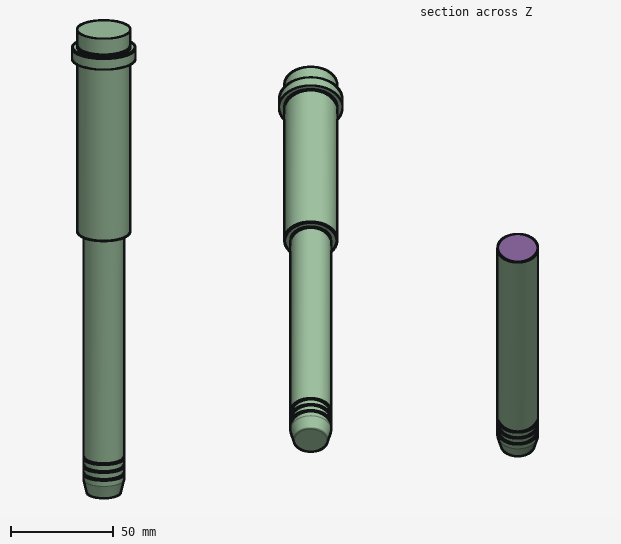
import cadquery as cq

length = 240.0
head_diameter = 26.0
collar_diameter = 31.0
shank_diameter = 20.0
tip_diameter = 16.5

collar_top = 231.0
collar_thickness = 6.0
collar_bottom = collar_top - collar_thickness
head_bottom = 135.0
taper_height = 7.0

collar_chamfer = 0.5
head_chamfer = 0.5
tip_fillet = 0.5

groove_width = 1.0
groove_depth = 0.5
shank_groove_count = 3
first_groove_center = 10.3
groove_pitch = 4.0


def cylinder(diameter, bottom, top):
    """Solid cylinder about the Z axis between two heights."""
    return cq.Workplane("XY").workplane(offset=bottom).circle(diameter / 2).extrude(top - bottom)


def tapered_tip():
    """Cone that widens from the rounded tip face to the shank."""
    cone = (
        cq.Workplane("XY")
        .circle(tip_diameter / 2)
        .workplane(offset=taper_height)
        .circle(shank_diameter / 2)
        .loft(ruled=True)
    )
    return cone.faces("<Z").edges().fillet(tip_fillet)


def ring_groove(diameter, center):
    """V-section ring to remove from a cylinder of the given diameter."""
    surface = diameter / 2
    half_width = groove_width / 2
    section = cq.Workplane("XZ").polyline([
        (surface, center - half_width),
        (surface - groove_depth, center),
        (surface, center + half_width),
    ]).close()
    return section.revolve(360, (0, 0, 0), (0, 1, 0))


shank = cylinder(shank_diameter, taper_height, head_bottom)
head = cylinder(head_diameter, head_bottom, length).faces("<Z").edges().chamfer(head_chamfer)
collar = cylinder(collar_diameter, collar_bottom, collar_top).faces(">Z").edges().chamfer(collar_chamfer)
result = tapered_tip().union(shank).union(head).union(collar)

for index in range(shank_groove_count):
    groove_center = first_groove_center + index * groove_pitch
    result = result.cut(ring_groove(shank_diameter, groove_center))

result = result.cut(ring_groove(shank_diameter, head_bottom - groove_width / 2))
result = result.cut(ring_groove(head_diameter, collar_bottom - groove_width / 2))
result = result.cut(ring_groove(head_diameter, collar_top + groove_width / 2))